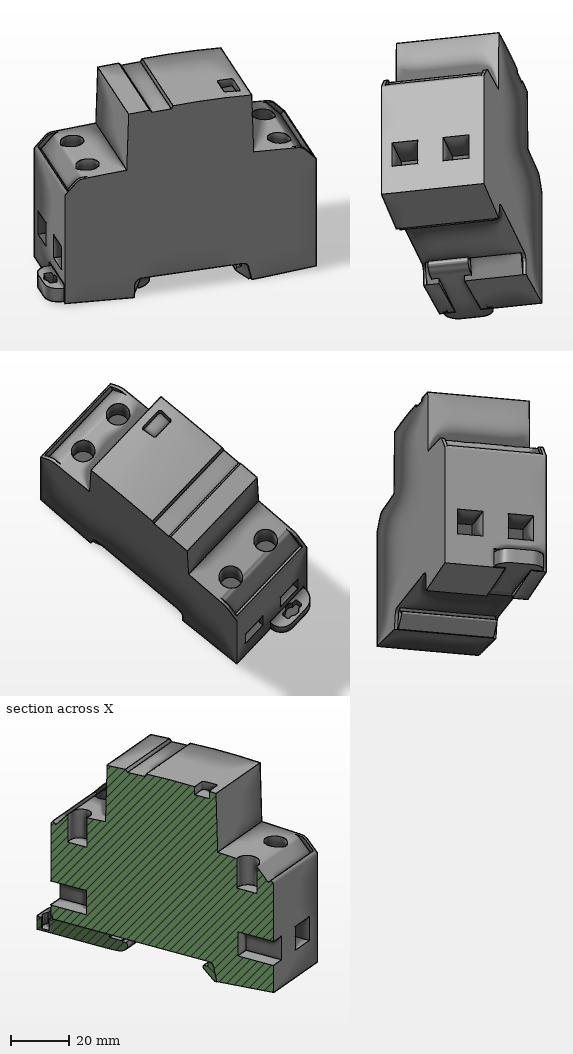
import cadquery as cq
import math


WIDTH = 36.0
LENGTH = 90.0
FRONT_BOTTOM_Z = 1.5
REAR_BOTTOM_Z = 2.1
SHOULDER_Z = 43.6
CHAMFER_RUN = 5.0
CHAMFER_RISE = 5.3
CHAMFER_ROUND = 4.3
SHOULDER_ROUND = 0.8
SHELF_INNER_Z = 49.85

TOWER_FRONT_Y = 22.1
TOWER_REAR_Y = 67.5
TOWER_DRAFT = 0.7
TOWER_FRONT_TOP_Z = 71.4
GROOVE_FRONT_Y = 30.3
GROOVE_REAR_Y = 38.7
GROOVE_FRONT_TOP_Z = 71.8
GROOVE_REAR_TOP_Z = 72.2
GROOVE_FLOOR_FRONT = (31.1, 70.9)
GROOVE_FLOOR_REAR = (38.0, 71.1)
CROWN = (50.6, 72.5)
TOWER_REAR_TOP_Z = 72.0

RAIL_FLOOR_Z = 7.2
FRONT_FOOT_Y = 24.8
FRONT_CORNER_R = 2.8
REAR_FOOT_TIP = (66.9, 0.4)
REAR_WALL_TOP = (65.9, 4.7)
REAR_CORNER_END_Y = 63.5
SIDE_RELIEF = 1.1

RAIL_HOOK_HEEL = (66.1, 0.3)
RAIL_HOOK_NOSE_LOW = (61.6, 4.1)
RAIL_HOOK_NOSE = (61.4, 4.7)
RAIL_HOOK_NOSE_HIGH = (62.0, 5.4)
RAIL_HOOK_NECK_Y = 63.2
RAIL_HOOK_NECK_Z = 5.9

RECESS_START = 1.0
RECESS_WALL_RUN = 1.1
RECESS_FLAT_END = 6.4
RECESS_END = 8.2

TERMINAL_PITCH = 18.0
REAR_TERMINAL_SHIFT = 0.8
SCREW_DIA = 8.0
SCREW_INSET = 10.8
SCREW_FLOOR_Z = 38.2
WIRE_SIZE = 9.0
WIRE_Z = 17.0
WIRE_DEPTH = 14.3

WINDOW_X = 9.55
WINDOW_REAR_Y = 64.0
WINDOW_FRONT_Y = 58.3
WINDOW_REAR_WIDTH = 9.4
WINDOW_FRONT_WIDTH = 8.6
WINDOW_ROUND = 0.8
WINDOW_FLOOR_Z = 69.3

CLIP_X = 8.0
CLIP_BOTTOM_Z = 1.7
TAB_WIDTH = 17.2
TAB_TOP_Z = 6.9
TAB_REACH = 5.5
TAB_ROUND = 5.2
POCKET_TOP_Z = 8.3
POCKET_DEPTH = 0.8
BAR_WIDTH = 14.0
BAR_END_Y = 23.9
CLIP_HOOK_ROOT_Z = 6.3
CLIP_HOOK_ROOT_END_Y = 28.65
CLIP_HOOK_STEP = 0.3
CLIP_HOOK_TOP_END_Y = 30.6
CLIP_HOOK_NOSE = (31.1, 5.0)
CLIP_HOOK_CHIN = (30.75, 3.7)
CLIP_HOOK_BELLY = (29.3, 2.5)
CLIP_HOOK_HEEL = (27.3, 1.9)
OPENING_WIDTH = 9.0
TAB_HOLE_Y = -2.2
TAB_HOLE_LENGTH = 7.2
TAB_HOLE_WIDTH = 2.9
TAB_HOLE_DIA = 4.6
TAB_HOLE_ROUND = 0.6
TAB_HOLE_FLOOR = 1.0

OVERCUT = 1.9
INNER_WIDTH = WIDTH - 2 * SIDE_RELIEF
SHELF_EDGE_Z = SHOULDER_Z + CHAMFER_RISE


def extrude_centered(outline, width, x_center=0):
    """Extrude a closed outline in the YZ plane equally to both sides of x_center."""
    return outline.extrude(width / 2, both=True).translate((x_center, 0, 0))


def box_between(width, y_range, z_range, x_center=0):
    """Box given by its width and its Y and Z ranges."""
    size = (width, y_range[1] - y_range[0], z_range[1] - z_range[0])
    corner = (x_center - width / 2, y_range[0], z_range[0])
    return cq.Workplane().box(*size, centered=False).translate(corner)


def corner_midpoint(start, end):
    """Middle of the quarter round from an upright wall at start to a level floor at end."""
    diagonal = math.sqrt(0.5)
    return (
        end[0] + (start[0] - end[0]) * diagonal,
        start[1] + (end[1] - start[1]) * diagonal,
    )


FRONT_WALL_TOP = (FRONT_FOOT_Y, RAIL_FLOOR_Z - FRONT_CORNER_R)
FRONT_FLOOR_START = (FRONT_FOOT_Y + FRONT_CORNER_R, RAIL_FLOOR_Z)
REAR_FLOOR_END = (REAR_CORNER_END_Y, RAIL_FLOOR_Z)
REAR_CORNER_MIDDLE = corner_midpoint(REAR_WALL_TOP, REAR_FLOOR_END)


def housing_block():
    """Stepped outline with the tower on top and the rail cutout below."""
    outline = (
        cq.Workplane("YZ")
        .moveTo(FRONT_FOOT_Y, 0)
        .lineTo(0, FRONT_BOTTOM_Z)
        .lineTo(0, SHOULDER_Z)
        .lineTo(CHAMFER_RUN, SHELF_EDGE_Z)
        .lineTo(TOWER_FRONT_Y, SHELF_INNER_Z)
        .lineTo(TOWER_FRONT_Y + TOWER_DRAFT, TOWER_FRONT_TOP_Z)
        .lineTo(GROOVE_FRONT_Y, GROOVE_FRONT_TOP_Z)
        .lineTo(*GROOVE_FLOOR_FRONT)
        .lineTo(*GROOVE_FLOOR_REAR)
        .lineTo(GROOVE_REAR_Y, GROOVE_REAR_TOP_Z)
        .threePointArc(CROWN, (TOWER_REAR_Y - TOWER_DRAFT, TOWER_REAR_TOP_Z))
        .lineTo(TOWER_REAR_Y, SHELF_INNER_Z)
        .lineTo(LENGTH - CHAMFER_RUN, SHELF_EDGE_Z)
        .lineTo(LENGTH, SHOULDER_Z)
        .lineTo(LENGTH, REAR_BOTTOM_Z)
        .lineTo(*REAR_FOOT_TIP)
        .lineTo(*REAR_WALL_TOP)
        .threePointArc(REAR_CORNER_MIDDLE, REAR_FLOOR_END)
        .lineTo(*FRONT_FLOOR_START)
        .threePointArc(corner_midpoint(FRONT_WALL_TOP, FRONT_FLOOR_START), FRONT_WALL_TOP)
        .close()
    )
    block = extrude_centered(outline, WIDTH)
    roundings = [
        (0, SHOULDER_Z, SHOULDER_ROUND),
        (LENGTH, SHOULDER_Z, SHOULDER_ROUND),
        (CHAMFER_RUN, SHELF_EDGE_Z, CHAMFER_ROUND),
        (LENGTH - CHAMFER_RUN, SHELF_EDGE_Z, CHAMFER_ROUND),
    ]
    for y, z, radius in roundings:
        block = block.edges(cq.selectors.NearestToPointSelector((0, y, z))).fillet(radius)
    return block


def foot_wedge():
    """Sloped inner face of the front foot, set in from both sides."""
    outline = (
        cq.Workplane("YZ")
        .moveTo(FRONT_FOOT_Y, 0)
        .lineTo(*FRONT_FLOOR_START)
        .lineTo(FRONT_FLOOR_START[0], RAIL_FLOOR_Z + OVERCUT)
        .lineTo(FRONT_FOOT_Y - OVERCUT, RAIL_FLOOR_Z + OVERCUT)
        .lineTo(FRONT_FOOT_Y - OVERCUT, OVERCUT)
        .close()
    )
    return extrude_centered(outline, INNER_WIDTH)


def corner_recess():
    """Shallow recess in the front chamfer that runs out on the shelf."""
    chamfer_slope = CHAMFER_RISE / CHAMFER_RUN
    start_z = SHOULDER_Z + chamfer_slope * RECESS_START
    floor_start = (RECESS_START + RECESS_WALL_RUN, start_z - RECESS_WALL_RUN / chamfer_slope)
    flat_end_z = floor_start[1] + chamfer_slope * (RECESS_FLAT_END - floor_start[0])
    shelf_slope = (SHELF_INNER_Z - SHELF_EDGE_Z) / (TOWER_FRONT_Y - CHAMFER_RUN)
    end_z = SHELF_EDGE_Z + shelf_slope * (RECESS_END - CHAMFER_RUN)
    outline = (
        cq.Workplane("YZ")
        .moveTo(RECESS_START, start_z)
        .lineTo(*floor_start)
        .lineTo(RECESS_FLAT_END, flat_end_z)
        .tangentArcPoint((RECESS_END, end_z), relative=False)
        .lineTo(RECESS_END, SHELF_INNER_Z + OVERCUT)
        .lineTo(RECESS_START, SHELF_INNER_Z + OVERCUT)
        .close()
    )
    return extrude_centered(outline, INNER_WIDTH)


def terminal(x, at_rear):
    """Screw hole from the shelf and square wire entry from the end face."""
    screw_y = LENGTH - SCREW_INSET if at_rear else SCREW_INSET
    wire_y = (LENGTH - WIRE_DEPTH, LENGTH) if at_rear else (0, WIRE_DEPTH)
    screw_hole = (
        cq.Workplane("XY", origin=(x, screw_y, SCREW_FLOOR_Z))
        .circle(SCREW_DIA / 2)
        .extrude(SHELF_INNER_Z + OVERCUT - SCREW_FLOOR_Z)
    )
    wire_entry = box_between(WIRE_SIZE, wire_y, (WIRE_Z - WIRE_SIZE / 2, WIRE_Z + WIRE_SIZE / 2), x)
    return screw_hole.union(wire_entry)


def status_window():
    """Rounded, slightly tapered pocket in the tower top."""
    return (
        cq.Workplane("XY", origin=(WINDOW_X, 0, WINDOW_FLOOR_Z))
        .moveTo(-WINDOW_FRONT_WIDTH / 2, WINDOW_FRONT_Y)
        .lineTo(WINDOW_FRONT_WIDTH / 2, WINDOW_FRONT_Y)
        .lineTo(WINDOW_REAR_WIDTH / 2, WINDOW_REAR_Y)
        .lineTo(-WINDOW_REAR_WIDTH / 2, WINDOW_REAR_Y)
        .close()
        .extrude(CROWN[1] + OVERCUT - WINDOW_FLOOR_Z)
        .edges("|Z")
        .fillet(WINDOW_ROUND)
    )


def clip_channel():
    """Front pocket, bar channel through the front foot and the slot open to the bottom."""
    channel_end_y = FRONT_FLOOR_START[0] + OVERCUT
    pocket = box_between(TAB_WIDTH, (0, POCKET_DEPTH), (CLIP_BOTTOM_Z, POCKET_TOP_Z), CLIP_X)
    channel = box_between(BAR_WIDTH, (0, channel_end_y), (CLIP_BOTTOM_Z, RAIL_FLOOR_Z), CLIP_X)
    opening = box_between(OPENING_WIDTH, (0, channel_end_y), (-OVERCUT, RAIL_FLOOR_Z), CLIP_X)
    return pocket.union(channel).union(opening)


def make_housing():
    body = housing_block().union(foot_wedge())
    recess = corner_recess()
    body = body.cut(recess)
    body = body.cut(recess.mirror("XZ").translate((0, LENGTH, 0)))
    for x in (-TERMINAL_PITCH / 2, TERMINAL_PITCH / 2):
        body = body.cut(terminal(x, at_rear=False))
        body = body.cut(terminal(x + REAR_TERMINAL_SHIFT, at_rear=True))
    return body.cut(status_window()).cut(clip_channel())


def make_rail_hook():
    """Fixed hook that fills the rear corner of the rail cutout."""
    outline = (
        cq.Workplane("YZ")
        .moveTo(*REAR_FOOT_TIP)
        .lineTo(*RAIL_HOOK_HEEL)
        .lineTo(*RAIL_HOOK_NOSE_LOW)
        .threePointArc(RAIL_HOOK_NOSE, RAIL_HOOK_NOSE_HIGH)
        .lineTo(RAIL_HOOK_NECK_Y, RAIL_HOOK_NOSE_HIGH[1])
        .lineTo(REAR_CORNER_END_Y, RAIL_HOOK_NECK_Z)
        .lineTo(*REAR_FLOOR_END)
        .threePointArc(REAR_CORNER_MIDDLE, REAR_WALL_TOP)
        .close()
    )
    return extrude_centered(outline, INNER_WIDTH)


def tab_hole():
    """Blind slot with a round widening in its middle."""
    floor_z = CLIP_BOTTOM_Z + TAB_HOLE_FLOOR
    height = TAB_TOP_Z - floor_z
    base = cq.Workplane("XY", origin=(CLIP_X, TAB_HOLE_Y, floor_z))
    slot = base.rect(TAB_HOLE_LENGTH, TAB_HOLE_WIDTH).extrude(height)
    slot = slot.edges("|Z").fillet(TAB_HOLE_ROUND)
    return slot.union(base.circle(TAB_HOLE_DIA / 2).extrude(height))


def make_clip():
    """Sliding clip: pull tab in front, bar through the foot, rounded hook behind."""
    tab = box_between(TAB_WIDTH, (-TAB_REACH, POCKET_DEPTH), (CLIP_BOTTOM_Z, TAB_TOP_Z), CLIP_X)
    tab = tab.edges("|Z and <Y").fillet(TAB_ROUND).cut(tab_hole())
    hook_top_z = CLIP_HOOK_ROOT_Z - CLIP_HOOK_STEP
    bar_outline = (
        cq.Workplane("YZ")
        .moveTo(POCKET_DEPTH, CLIP_BOTTOM_Z)
        .lineTo(POCKET_DEPTH, RAIL_FLOOR_Z)
        .lineTo(BAR_END_Y, RAIL_FLOOR_Z)
        .lineTo(BAR_END_Y, CLIP_HOOK_ROOT_Z)
        .lineTo(CLIP_HOOK_ROOT_END_Y, CLIP_HOOK_ROOT_Z)
        .lineTo(CLIP_HOOK_ROOT_END_Y + CLIP_HOOK_STEP, hook_top_z)
        .lineTo(CLIP_HOOK_TOP_END_Y, hook_top_z)
        .threePointArc(CLIP_HOOK_NOSE, CLIP_HOOK_CHIN)
        .threePointArc(CLIP_HOOK_BELLY, CLIP_HOOK_HEEL)
        .lineTo(BAR_END_Y, CLIP_BOTTOM_Z)
        .close()
    )
    return tab.union(extrude_centered(bar_outline, BAR_WIDTH, CLIP_X))


housing = make_housing()
rail_hook = make_rail_hook()
clip = make_clip()

result = cq.Compound.makeCompound([housing.solids().val(), rail_hook.val(), clip.solids().val()])